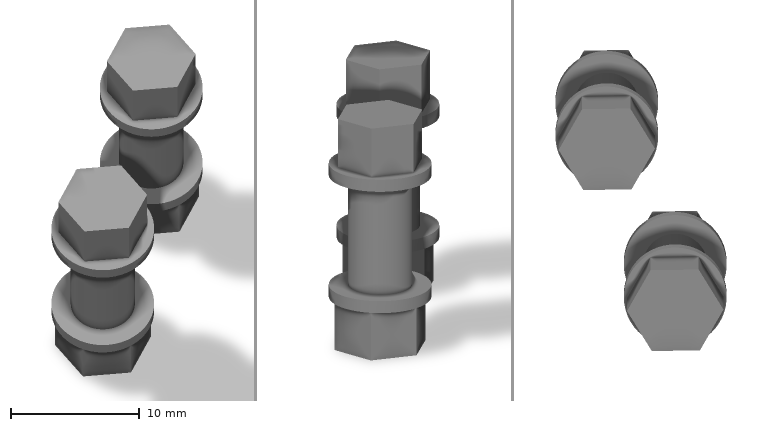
import cadquery as cq
import math

total_height = 19.0
hex_height = 4.0
flange_height = 0.99
shank_top = total_height - hex_height - flange_height
nut_height = hex_height + flange_height

shank_diameter = 5.0
flange_diameter = 8.0
head_across_flats = 6.0
nut_across_flats = 6.5

spacing_x = 8.72
spacing_y = 10.95
fastener_places = [
    (-spacing_x / 2, spacing_y / 2),
    (spacing_x / 2, -spacing_y / 2),
]


def cylinder(diameter, bottom, height):
    return cq.Workplane("XY").workplane(offset=bottom).circle(diameter / 2).extrude(height)


def hexagon(across_flats, bottom, height):
    """Hexagonal prism with two of its corners on the X axis."""
    across_corners = across_flats / math.cos(math.pi / 6)
    return cq.Workplane("XY").workplane(offset=bottom).polygon(6, across_corners).extrude(height)


def make_bolt(x, y):
    """Flanged hex bolt with its head up and its shank reaching the underside of the nut."""
    shank = cylinder(shank_diameter, 0, shank_top)
    flange = cylinder(flange_diameter, shank_top, flange_height)
    head = hexagon(head_across_flats, total_height - hex_height, hex_height)
    return shank.union(flange).union(head).translate((x, y, 0))


def make_nut(x, y):
    """Flanged hex nut with its flange up and a through bore that fits the shank."""
    body = hexagon(nut_across_flats, 0, hex_height)
    flange = cylinder(flange_diameter, hex_height, flange_height)
    bore = cylinder(shank_diameter, 0, nut_height)
    return body.union(flange).cut(bore).translate((x, y, 0))


bolts = [make_bolt(x, y).val() for x, y in fastener_places]
nuts = [make_nut(x, y).val() for x, y in fastener_places]

result = cq.Compound.makeCompound([*bolts, *nuts])